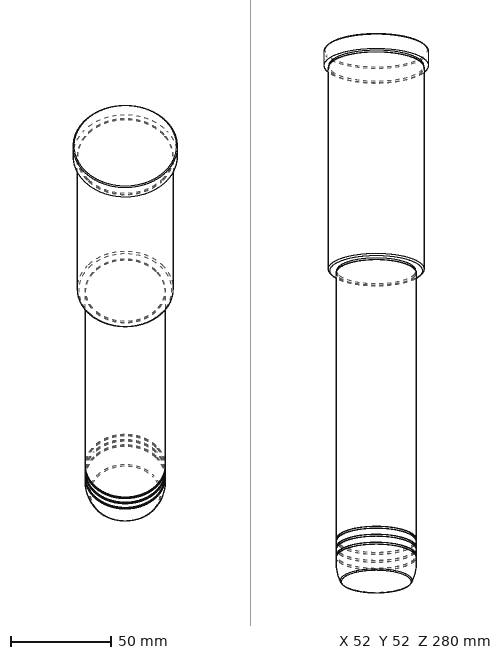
import cadquery as cq

total_length = 280.0
head_diameter = 52.0
head_length = 8.0
head_top_chamfer = 0.5
body_diameter = 48.0
body_length = 108.0
body_bottom_chamfer = 0.8
pin_diameter = 40.0

relief_width = 1.0
relief_depth = 0.3

groove_width = 1.0
groove_depth = 0.3
groove_pitch = 4.2
groove_count = 3
lowest_groove_z = 13.0

lead_in_top_z = 8.0
tip_radius = 18.0
lead_in_bulge = 0.42
tip_chamfer = 0.5

head_radius = head_diameter / 2
body_radius = body_diameter / 2
pin_radius = pin_diameter / 2
head_bottom_z = total_length - head_length
body_bottom_z = head_bottom_z - body_length


def make_disc(radius, bottom_z, height):
    """Solid cylinder about the Z axis."""
    return cq.Workplane("XY").workplane(offset=bottom_z).circle(radius).extrude(height)


def make_groove(radius, bottom_z, width, depth):
    """Ring that cuts a rectangular groove into a cylinder of the given radius."""
    ring = cq.Workplane("XY").workplane(offset=bottom_z)
    return ring.circle(radius).circle(radius - depth).extrude(width)


def make_lead_in():
    """Slightly bulged nose that narrows from the pin to the chamfered tip."""
    middle_radius = (pin_radius + tip_radius) / 2 + lead_in_bulge
    middle_z = (lead_in_top_z + tip_chamfer) / 2
    profile = (
        cq.Workplane("XZ")
        .lineTo(tip_radius - tip_chamfer, 0)
        .lineTo(tip_radius, tip_chamfer)
        .threePointArc((middle_radius, middle_z), (pin_radius, lead_in_top_z))
        .lineTo(0, lead_in_top_z)
        .close()
    )
    return profile.revolve(360, (0, 0, 0), (0, 1, 0))


head = make_disc(head_radius, head_bottom_z, head_length).faces(">Z").edges().chamfer(head_top_chamfer)
body = make_disc(body_radius, body_bottom_z, body_length).faces("<Z").edges().chamfer(body_bottom_chamfer)
pin = make_disc(pin_radius, lead_in_top_z, body_bottom_z - lead_in_top_z)
result = head.union(body).union(pin).union(make_lead_in())

for radius, shoulder_z in ((body_radius, head_bottom_z), (pin_radius, body_bottom_z)):
    result = result.cut(make_groove(radius, shoulder_z - relief_width, relief_width, relief_depth))

for index in range(groove_count):
    groove_z = lowest_groove_z + index * groove_pitch
    result = result.cut(make_groove(pin_radius, groove_z, groove_width, groove_depth))